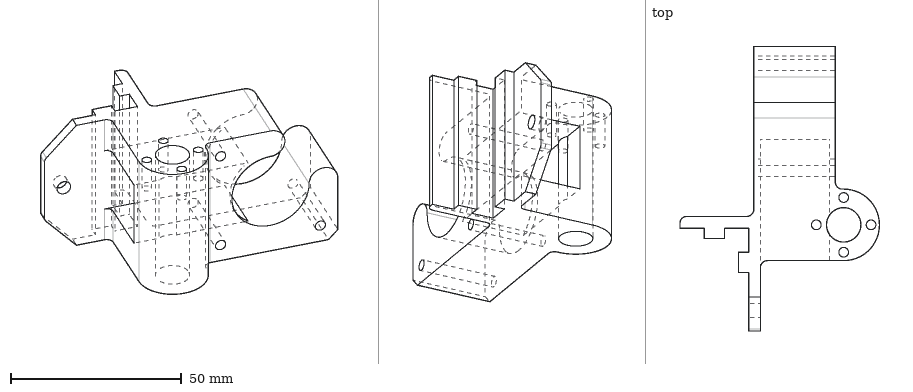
import cadquery as cq


height = 42.0
half_height = height / 2
total_length = 83.5

flange_thickness = 3.5
side_flange_length = 20.1
front_flange_length = 30.15
rib_start = 7.0
rib_width = 6.0
rib_depth = 3.0
corner_radius = 2.0
flange_chamfer_length = 9.9
flange_upper_chamfer_height = 9.9
flange_lower_chamfer_height = 10.9
flange_hole_diameter = 4.2
flange_hole_inset = 6.0

arm_left = 1.5
arm_width = 24.0
arm_right = arm_left + arm_width
arm_back = total_length - front_flange_length
cradle_radius = 12.0
cradle_y = arm_back - half_height
lip_radius = (half_height - cradle_radius) / 2
lip_offset = cradle_radius + lip_radius
arm_chamfer = 2.9
arm_hole_diameter = 3.2
arm_hole_offset = 15.5

boss_x = 27.9
boss_y = 1.0
boss_radius = 10.5
boss_front = boss_y - boss_radius
boss_back = boss_y + boss_radius
bore_diameter = 10
nut_screw_diameter = 2.8
nut_screw_circle_radius = 8.0
nut_screw_depth = 10

window_right = 23.7
window_height = 20.4


def block(x_start, x_end, y_start, y_end, block_height):
    """Box between two plan corners, centred on mid height."""
    return (
        cq.Workplane("XY")
        .box(x_end - x_start, y_end - y_start, block_height)
        .translate(((x_start + x_end) / 2, (y_start + y_end) / 2, 0))
    )


def cross_cylinder(y, z, diameter, x_start, x_end):
    """Cylinder along X."""
    return (
        cq.Workplane("YZ", origin=(x_start, y, z))
        .circle(diameter / 2)
        .extrude(x_end - x_start)
    )


def make_body():
    """Flanges, arm and boss as one extruded plan outline with rounded corners."""
    rib_end = rib_start + rib_width
    body = (
        cq.Workplane("XY", origin=(0, 0, -half_height))
        .moveTo(0, 0)
        .lineTo(-rib_start, 0)
        .lineTo(-rib_start, -rib_depth)
        .lineTo(-rib_end, -rib_depth)
        .lineTo(-rib_end, 0)
        .lineTo(-side_flange_length, 0)
        .lineTo(-side_flange_length, flange_thickness)
        .lineTo(arm_left, flange_thickness)
        .lineTo(arm_left, arm_back)
        .lineTo(arm_right, arm_back)
        .lineTo(arm_right, boss_back)
        .lineTo(boss_x, boss_back)
        .threePointArc((boss_x + boss_radius, boss_y), (boss_x, boss_front))
        .lineTo(flange_thickness, boss_front)
        .lineTo(flange_thickness, -front_flange_length)
        .lineTo(0, -front_flange_length)
        .lineTo(0, -rib_end)
        .lineTo(-rib_depth, -rib_end)
        .lineTo(-rib_depth, -rib_start)
        .lineTo(0, -rib_start)
        .close()
        .extrude(height)
    )
    rounded_corners = [
        (-side_flange_length, flange_thickness),
        (arm_left, flange_thickness),
        (arm_right, boss_back),
        (flange_thickness, boss_front),
    ]
    for x, y in rounded_corners:
        body = body.edges(cq.selectors.NearestToPointSelector((x, y, 0))).fillet(corner_radius)
    return body


def shape_front_flange(body):
    """Sloped, softened ends and the mounting hole of the front flange."""
    flange_end = -front_flange_length
    for z_side, chamfer_height in [(1, flange_upper_chamfer_height), (-1, flange_lower_chamfer_height)]:
        cutting_corner = (
            cq.Workplane("YZ")
            .moveTo(flange_end, z_side * half_height)
            .lineTo(flange_end + flange_chamfer_length, z_side * half_height)
            .lineTo(flange_end, z_side * (half_height - chamfer_height))
            .close()
            .extrude(flange_thickness)
        )
        body = body.cut(cutting_corner)
    body = body.faces("<Y").edges("|X").fillet(corner_radius)
    hole_y = flange_end + flange_hole_inset
    return body.cut(cross_cylinder(hole_y, 0, flange_hole_diameter, 0, flange_thickness))


def cut_cradle(body):
    """Round cradle, open at the upper back corner between two rounded lips."""
    lip_y = cradle_y + lip_offset
    opening = (
        cq.Workplane("YZ", origin=(arm_left, 0, 0))
        .moveTo(cradle_y, cradle_radius)
        .threePointArc((cradle_y + lip_radius, lip_offset), (cradle_y, half_height))
        .lineTo(arm_back, half_height)
        .lineTo(arm_back, 0)
        .threePointArc((lip_y, lip_radius), (cradle_y + cradle_radius, 0))
        .lineTo(cradle_y, 0)
        .close()
        .extrude(arm_width)
    )
    bore = cross_cylinder(cradle_y, 0, 2 * cradle_radius, arm_left, arm_right)
    return body.cut(opening).cut(bore)


def finish_arm(body):
    """Lower back chamfer and the three cross holes around the cradle."""
    body = body.faces(">Y").edges("<Z").chamfer(arm_chamfer)
    for y_side, z_side in [(-1, 1), (-1, -1), (1, -1)]:
        hole_y = cradle_y + y_side * arm_hole_offset
        hole_z = z_side * arm_hole_offset
        body = body.cut(cross_cylinder(hole_y, hole_z, arm_hole_diameter, arm_left, arm_right))
    return body


def cut_window(body):
    """Rectangular passage from the front, beside the flange, into the cradle."""
    window_front = boss_front - corner_radius
    return body.cut(block(flange_thickness, window_right, window_front, cradle_y, window_height))


def drill_boss(body):
    """Through bore and four blind screw holes from the top."""
    top = cq.Workplane("XY", origin=(boss_x, boss_y, half_height))
    bore = top.circle(bore_diameter / 2).extrude(-height)
    screws = (
        top.polarArray(nut_screw_circle_radius, 0, 360, 4)
        .circle(nut_screw_diameter / 2)
        .extrude(-nut_screw_depth)
    )
    return body.cut(bore).cut(screws)


result = make_body()
result = shape_front_flange(result)
result = cut_cradle(result)
result = finish_arm(result)
result = cut_window(result)
result = drill_boss(result)